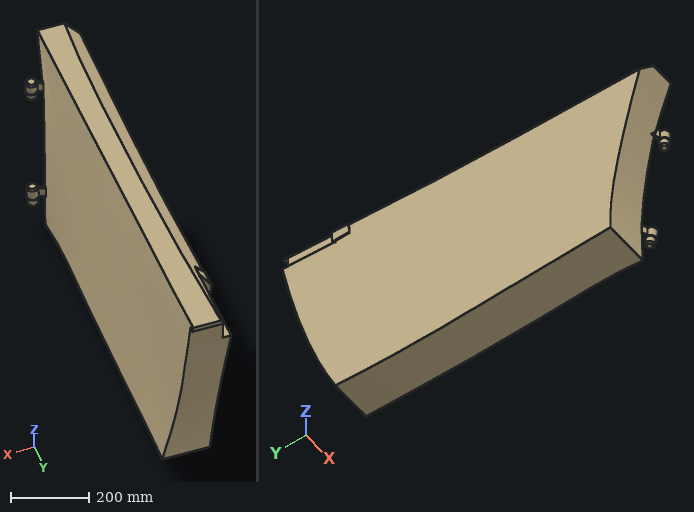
import cadquery as cq
import math

LENGTH = 1175.0
HEIGHT = 723.0
FRONT_HEIGHT = 630.0
TOP_SLOPE = (HEIGHT - FRONT_HEIGHT) / LENGTH
OVERRUN = 12.0
WAIST_HEIGHT = 341.0
LIP_DEPTH = 14.0

INNER_HEIGHTS = (-OVERRUN, 94.0, 200.0, 329.0, 470.0, 564.0)
STATIONS = (
    dict(y=-OVERRUN, outer=(0.0, 25.0, 13.0), ridge_depth=39.0, top=(50.0, 125.0),
         inner=(167.0, 174.0, 162.0, 136.0, 119.0, 125.0)),
    dict(y=165.0, outer=(0.0, 25.0, 15.0), ridge_depth=40.0, top=(60.0, 125.0),
         inner=(132.0, 137.0, 137.0, 136.0, 135.0, 134.0)),
    dict(y=329.0, outer=(0.0, 25.0, 16.0), ridge_depth=41.0, top=(62.0, 123.0),
         inner=(129.0, 135.0, 135.0, 135.0, 135.0, 134.0)),
    dict(y=587.0, outer=(1.0, 25.0, 16.0), ridge_depth=43.0, top=(61.0, 121.0),
         inner=(129.0, 135.0, 135.0, 136.0, 136.0, 135.0)),
    dict(y=904.0, outer=(1.0, 25.0, 10.0), ridge_depth=45.0, top=(54.0, 120.0),
         inner=(129.0, 135.0, 135.0, 136.0, 136.0, 135.0)),
    dict(y=LENGTH + OVERRUN, outer=(2.0, 25.0, 5.0), ridge_depth=47.0, top=(41.0, 116.0),
         inner=(129.0, 134.0, 134.0, 134.0, 133.0, 132.0)),
)

FRONT_CURVE = [(66.0, 432.0), (94.0, 294.0), (106.0, 195.0), (107.0, 74.0), (101.0, 0.0)]
BOTTOM_FLAT_END = (650.0, 6.0)
BOTTOM_MIDDLE = (806.0, 14.0)
BOTTOM_REAR = (989.0, 34.0)
REAR_MIDDLE = (1108.0, 368.0)
REAR_SHOULDER = (1160.0, 637.0)
LIP_OVERHANG = 15.0

POCKET_FLOOR_X = 32.0
POCKET_DEPTH = 82.0
POCKET_FRONT_Y = 1001.0
POCKET_SHOULDER_X = 8.0
PAD_FRONT_Y = 947.0
PAD_BOTTOM = 630.0
PAD_PROUD = 2.0

BARREL_LENGTH = 35.0
BARREL_RADIUS = 15.9
PIN_LENGTH = 25.0
PIN_RADIUS = 13.5
END_CHAMFER = 5.0
ARM_HEIGHT = 30.0
ARM_WIDTH = 7.0
HINGES = (
    dict(top=(157.0, 47.0, 495.0), lean=0.0, arm_end=(119.0, 61.0)),
    dict(top=(173.0, 97.0, 155.0), lean=8.0, arm_end=(139.0, 113.0)),
)


def top_height(y):
    return FRONT_HEIGHT + TOP_SLOPE * y


def panel_section(y, outer, ridge_depth, top, inner):
    """Closed XZ section of the panel at a given Y."""
    top_z = top_height(y)
    point = cq.Vector
    bottom_outer = point(outer[0], y, -OVERRUN)
    waist = point(outer[1], y, WAIST_HEIGHT)
    ridge = point(outer[2], y, top_z - ridge_depth)
    top_outer = point(top[0], y, top_z)
    top_inner = point(top[1], y, top_z)
    inner_face = [point(x, y, z) for x, z in zip(inner, INNER_HEIGHTS)]
    return cq.Wire.assembleEdges([
        cq.Edge.makeThreePointArc(bottom_outer, waist, ridge),
        cq.Edge.makeLine(ridge, top_outer),
        cq.Edge.makeLine(top_outer, top_inner),
        cq.Edge.makeSpline([top_inner] + inner_face[::-1]),
        cq.Edge.makeLine(inner_face[0], bottom_outer),
    ])


def side_outline():
    """Side shape of the panel, extruded across its whole thickness."""
    lip_z = HEIGHT - LIP_DEPTH
    across = 235.0
    return (
        cq.Workplane("YZ", origin=(-across / 2, 0, 0))
        .moveTo(0, FRONT_HEIGHT)
        .spline(FRONT_CURVE, includeCurrent=True)
        .lineTo(*BOTTOM_FLAT_END)
        .threePointArc(BOTTOM_MIDDLE, BOTTOM_REAR)
        .threePointArc(REAR_MIDDLE, REAR_SHOULDER)
        .lineTo(LENGTH - LIP_OVERHANG, lip_z)
        .lineTo(LENGTH, lip_z)
        .lineTo(LENGTH, HEIGHT)
        .close()
        .extrude(2 * across)
    )


def parallel_band(y_start, y_end, depth_top, depth_bottom, x_start, x_end):
    """Block whose top and bottom follow the slope of the top edge."""
    corners = [
        (y_start, top_height(y_start) - depth_bottom),
        (y_end, top_height(y_end) - depth_bottom),
        (y_end, top_height(y_end) - depth_top),
        (y_start, top_height(y_start) - depth_top),
    ]
    return cq.Workplane("YZ", origin=(x_start, 0, 0)).polyline(corners).close().extrude(x_end - x_start)


def handle_pocket():
    """Pocket under the lip, open to the rear, with a front wall that undercuts the pad."""
    rear_y = LENGTH + OVERRUN
    undercut = POCKET_FLOOR_X - POCKET_SHOULDER_X
    plan = [
        (-OVERRUN, rear_y),
        (-OVERRUN, POCKET_FRONT_Y),
        (POCKET_SHOULDER_X, POCKET_FRONT_Y),
        (POCKET_FLOOR_X, POCKET_FRONT_Y - undercut),
        (POCKET_FLOOR_X, rear_y),
    ]
    prism = cq.Workplane("XY").polyline(plan).close().extrude(HEIGHT)
    band = parallel_band(PAD_FRONT_Y, rear_y, LIP_DEPTH, POCKET_DEPTH, -OVERRUN, POCKET_FLOOR_X)
    return prism.intersect(band)


def raised_pad(body):
    """Pad in front of the pocket, following the skin and standing slightly proud of it."""
    zone = (
        cq.Workplane("XY")
        .box(POCKET_FLOOR_X + OVERRUN, POCKET_FRONT_Y - PAD_FRONT_Y,
             top_height(PAD_FRONT_Y) - LIP_DEPTH - PAD_BOTTOM, centered=False)
        .translate((-OVERRUN, PAD_FRONT_Y, PAD_BOTTOM))
    )
    return body.translate((-PAD_PROUD, 0, 0)).intersect(zone)


def make_panel():
    sections = [panel_section(**station) for station in STATIONS]
    body = cq.Workplane(obj=cq.Solid.makeLoft(sections, False)).intersect(side_outline())
    return body.union(raised_pad(body)).cut(handle_pocket())


def make_hinge(panel, top, lean, arm_end):
    """Barrel with its pin below and an arm that ends against the panel."""
    x, y, z = top
    spindle = (
        cq.Workplane("XY")
        .circle(BARREL_RADIUS)
        .extrude(-BARREL_LENGTH)
        .faces("<Z")
        .workplane()
        .circle(PIN_RADIUS)
        .extrude(PIN_LENGTH)
        .faces("|Z")
        .faces("<Z or >Z")
        .edges()
        .chamfer(END_CHAMFER)
        .rotate((0, 0, 0), (1, 0, 0), lean)
        .translate(top)
    )
    reach_x = arm_end[0] - x
    reach_y = arm_end[1] - y
    arm = (
        cq.Workplane("XY")
        .box(math.hypot(reach_x, reach_y), ARM_WIDTH, ARM_HEIGHT, centered=(False, True, True))
        .rotate((0, 0, 0), (0, 0, 1), math.degrees(math.atan2(reach_y, reach_x)))
        .translate((x, y, z - BARREL_LENGTH / 2))
    )
    return spindle.union(arm).cut(panel)


panel = make_panel()
hinges = [make_hinge(panel, **hinge) for hinge in HINGES]
result = cq.Compound.makeCompound([panel.val(), *[hinge.val() for hinge in hinges]])